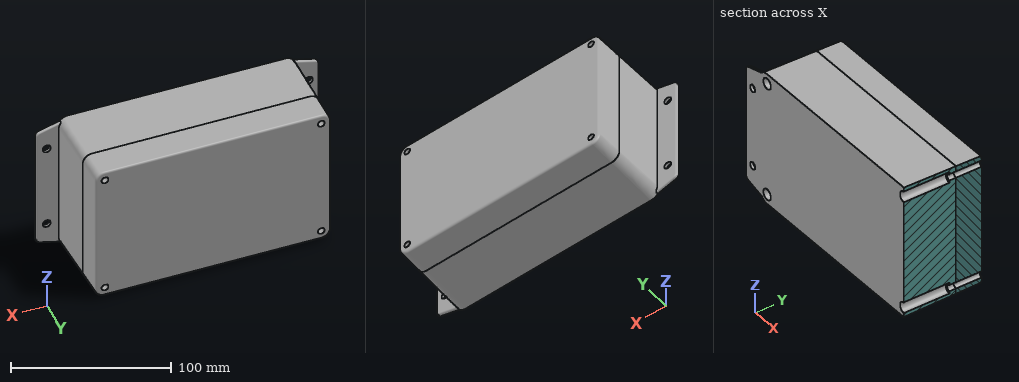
import cadquery as cq
import math


total_depth = 60.0
lid_depth = 20.0
base_depth = total_depth - lid_depth
mount_y = -total_depth / 2
parting_y = mount_y + base_depth

mount_length = 160.9
mount_width = 100.9
mount_corner_radius = 7.0
draft_angle = 1.0
base_draft_inset = base_depth * math.tan(math.radians(draft_angle))
parting_length = mount_length - 2 * base_draft_inset
parting_width = mount_width - 2 * base_draft_inset
parting_corner_radius = mount_corner_radius - base_draft_inset
lid_edge_radius = 1.5

flange_reach = 15.0
flange_thickness = 2.5
flange_half_length = mount_length / 2 + flange_reach
flange_end_half_width = 43.5
flange_slope_angle = 15.0
flange_corner_radius = 3.0
flange_edge_radius = 1.0

mounting_hole_diameter = 5.2
mounting_hole_x = 88.5
mounting_hole_z = 30.0
screw_x = 73.0
screw_z = 43.0
screw_hole_diameter = 4.5
screw_head_diameter = 8.0
screw_seat_thickness = 5.0
screw_head_depth = base_depth - screw_seat_thickness


def plane_at(y):
    """XZ plane at depth y whose extrusions run toward +Y; local x is X and local y is -Z."""
    return cq.Workplane(cq.Plane(origin=(0, y, 0), xDir=(1, 0, 0), normal=(0, 1, 0)))


def rounded_rectangle(y, length, width, corner_radius):
    sketch = cq.Sketch().rect(length, width).vertices().fillet(corner_radius)
    return plane_at(y).placeSketch(sketch)


def corner_points(x, z):
    """The four points that mirror (x, z) about both centre lines."""
    return [(sx * x, sz * z) for sx in (-1, 1) for sz in (-1, 1)]


def corner_cylinders(x, z, diameter, start_y, depth):
    return plane_at(start_y).pushPoints(corner_points(x, z)).circle(diameter / 2).extrude(depth)


def make_flange_plate():
    """One plate under the base whose ends taper and stick out as the two mounting flanges."""
    slope = math.tan(math.radians(flange_slope_angle))
    inner_half_width = flange_end_half_width + (flange_half_length - screw_x) * slope
    outline = [
        (-flange_half_length, -flange_end_half_width),
        (-screw_x, -inner_half_width),
        (screw_x, -inner_half_width),
        (flange_half_length, -flange_end_half_width),
        (flange_half_length, flange_end_half_width),
        (screw_x, inner_half_width),
        (-screw_x, inner_half_width),
        (-flange_half_length, flange_end_half_width),
    ]
    plate = plane_at(mount_y).polyline(outline).close().extrude(flange_thickness)
    end_corners = plate.edges("|Y").edges("<X or >X")
    return end_corners.fillet(flange_corner_radius).faces(">Y").edges().fillet(flange_edge_radius)


def make_base():
    body = rounded_rectangle(mount_y, mount_length, mount_width, mount_corner_radius).extrude(
        base_depth, taper=draft_angle
    )
    body = body.union(make_flange_plate())
    body = body.cut(
        corner_cylinders(mounting_hole_x, mounting_hole_z, mounting_hole_diameter, mount_y, flange_thickness)
    )
    body = body.cut(corner_cylinders(screw_x, screw_z, screw_head_diameter, mount_y, screw_head_depth))
    return body.cut(corner_cylinders(screw_x, screw_z, screw_hole_diameter, mount_y, base_depth))


def make_lid():
    body = rounded_rectangle(parting_y, parting_length, parting_width, parting_corner_radius).extrude(
        lid_depth, taper=draft_angle
    )
    body = body.faces(">Y").edges().fillet(lid_edge_radius)
    return body.cut(corner_cylinders(screw_x, screw_z, screw_hole_diameter, parting_y, lid_depth))


base = make_base()
lid = make_lid()

result = cq.Compound.makeCompound([base.val(), lid.val()])